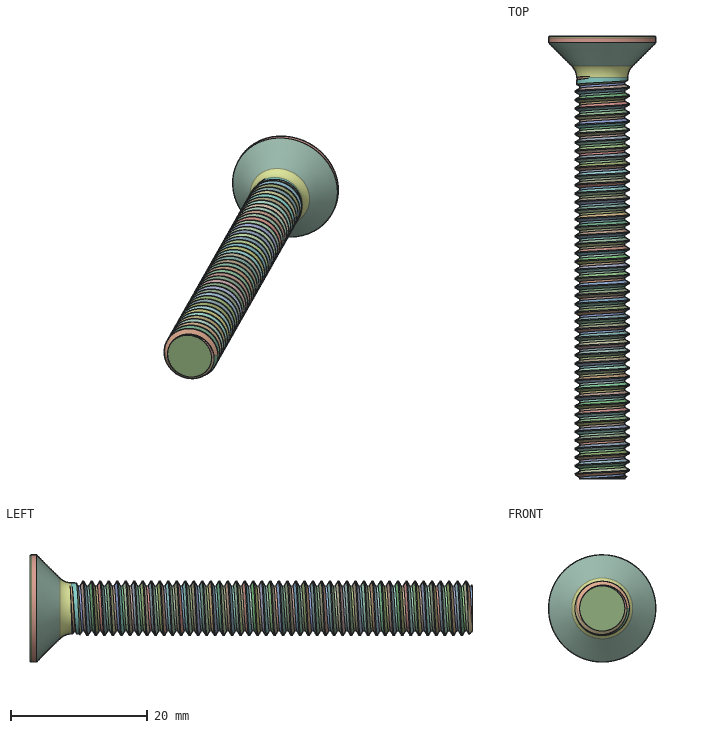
import cadquery as cq
import math

length = 65.0
top_y = length / 2
tip_y = -length / 2

head_radius = 15.8 / 2
rim_height = 1.0
rim_round = 0.25
cone_angle = math.radians(45)

neck_radius = 3.8
neck_round = 2.4

thread_radius = 8.0 / 2
pitch = 2 * thread_radius * 1.25 / 8
crest_width = pitch / 8
root_width = pitch / 4
flank_slope = math.tan(math.radians(30))
thread_depth = (pitch - crest_width - root_width) / 2 / flank_slope
core_radius = thread_radius - thread_depth
groove_top_y = top_y - 6.9
crest_start_y = groove_top_y - pitch / 4
crest_rise = thread_radius - neck_radius
tip_chamfer = thread_depth

runout_turns = 0.75

overcut = 0.05
full_turns = math.ceil((groove_top_y - tip_y) / pitch) + 1


def make_blank():
    """Unthreaded screw turned about the Y axis."""
    cone_top_y = top_y - rim_height
    blend_radius = neck_radius + neck_round * (1 - math.cos(cone_angle))
    blend_top_y = cone_top_y - (head_radius - blend_radius) / math.tan(cone_angle)
    blend_end_y = blend_top_y - neck_round * math.sin(cone_angle)
    return (
        cq.Workplane("XY")
        .moveTo(0, top_y)
        .lineTo(head_radius - rim_round, top_y)
        .radiusArc((head_radius, top_y - rim_round), rim_round)
        .lineTo(head_radius, cone_top_y)
        .lineTo(blend_radius, blend_top_y)
        .radiusArc((neck_radius, blend_end_y), -neck_round)
        .lineTo(neck_radius, crest_start_y)
        .lineTo(thread_radius, crest_start_y - crest_rise)
        .lineTo(thread_radius, tip_y + tip_chamfer)
        .lineTo(thread_radius - tip_chamfer, tip_y)
        .lineTo(0, tip_y)
        .close()
        .revolve(360, (0, 0, 0), (0, 1, 0))
    )


def ruled_strips(section, turns, flare):
    """Side faces of a section coiled up the Z axis, its radius growing by flare."""
    height = turns * pitch
    cone_half_angle = math.atan2(flare, height)
    slant = 1 / math.cos(cone_half_angle)
    helix_angle = math.degrees(cone_half_angle) if flare else 360
    edges = []
    for radius, offset in section:
        helix = cq.Wire.makeHelix(pitch * slant, height * slant, radius, angle=helix_angle)
        edges.append(helix.translate(cq.Vector(0, 0, offset)).Edges()[0])
    next_edges = edges[1:] + edges[:1]
    return [cq.Face.makeRuledSurface(a, b) for a, b in zip(edges, next_edges)]


def end_cap(section, turns, flare):
    """Flat face closing the coil after a number of turns."""
    angle = 2 * math.pi * turns
    corners = []
    for radius, offset in section:
        reach = radius + flare
        height = offset + turns * pitch
        corners.append(cq.Vector(reach * math.cos(angle), reach * math.sin(angle), height))
    return cq.Face.makeFromWires(cq.Wire.makePolygon(corners, close=True))


def make_groove():
    """Helical cutter with a trapezoid section, built from one set of faces per turn."""
    half_root = root_width / 2
    half_mouth = half_root + flank_slope * (thread_depth + overcut)
    mouth_radius = thread_radius + overcut
    section = [
        (core_radius, -half_root),
        (mouth_radius, -half_mouth),
        (mouth_radius, half_mouth),
        (core_radius, half_root),
    ]
    runout_rise = neck_radius - core_radius + overcut

    one_turn = ruled_strips(section, 1, 0)
    faces = ruled_strips(section, runout_turns, runout_rise)
    for turn in range(1, full_turns + 1):
        drop = cq.Vector(0, 0, -turn * pitch)
        faces.extend(strip.translate(drop) for strip in one_turn)
    faces.append(end_cap(section, -full_turns, 0))
    faces.append(end_cap(section, runout_turns, runout_rise))
    groove = cq.Solid.makeSolid(cq.Shell.makeShell(faces))

    return (
        cq.Workplane(obj=groove)
        .rotate((0, 0, 0), (1, 0, 0), -90)
        .translate((0, groove_top_y, 0))
    )


result = make_blank().cut(make_groove(), clean=False)